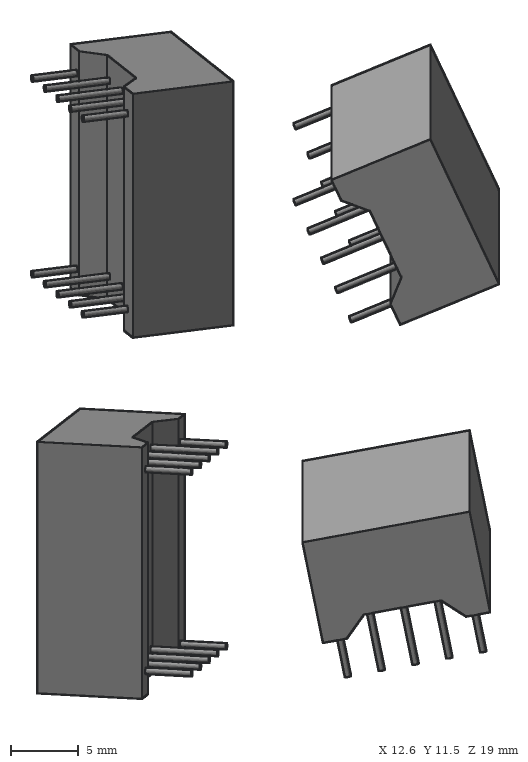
import cadquery as cq

width = 12.6
height = 19.0
total_depth = 11.5
pin_projection = 3.5
body_depth = total_depth - pin_projection

foot_width = 1.8
channel_depth = 1.6
channel_mouth = width - 2 * foot_width
channel_floor = channel_mouth - 2 * channel_depth

pin_diameter = 0.5
pin_pitch = 2.55
pins_per_row = 5
row_spacing = 15.24
pin_embed = 0.38


def make_body():
    """Block with the trapezoidal channel, pin-side feet at Y = 0."""
    profile = [
        (-width / 2, 0),
        (-channel_mouth / 2, 0),
        (-channel_floor / 2, channel_depth),
        (channel_floor / 2, channel_depth),
        (channel_mouth / 2, 0),
        (width / 2, 0),
        (width / 2, body_depth),
        (-width / 2, body_depth),
    ]
    return cq.Workplane("XY").polyline(profile).close().extrude(height / 2, both=True)


def make_pins():
    """Pins along Y, from inside the block to their common tip plane."""
    root_y = channel_depth + pin_embed
    return (
        cq.Workplane("XZ", origin=(0, root_y, 0))
        .rarray(pin_pitch, row_spacing, pins_per_row, 2)
        .circle(pin_diameter / 2)
        .extrude(root_y + pin_projection)
    )


result = make_body().union(make_pins())